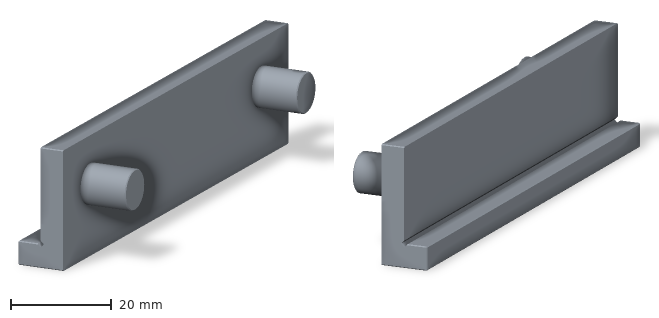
import cadquery as cq

length = 100.0
height = 25.0
thickness = 5.0
lip_reach = 5.0
relief_width = 1.0
pin_diameter = 8.5
pin_length = 10.0
edge_break = 0.2
pin_height = 15.0
pin_end_distance = 12.0

back_x = lip_reach + thickness
pin_spacing = length - 2 * pin_end_distance


def angle_bar():
    """L-shaped bar, centred along Y, with the lip pointing to -X.

    The wall keeps its other edges sharp.
    """
    sharp_bar = (
        cq.Workplane("XZ")
        .moveTo(0, 0)
        .lineTo(back_x, 0)
        .lineTo(back_x, height)
        .lineTo(lip_reach, height)
        .lineTo(lip_reach, thickness)
        .lineTo(0, thickness)
        .close()
        .extrude(length / 2, both=True)
    )
    return (
        sharp_bar.edges("|X")
        .add(sharp_bar.faces("<X").edges())
        .chamfer(edge_break)
    )


def corner_relief():
    """Square groove turned 45 degrees and centred on the inner corner."""
    return (
        cq.Workplane("XZ", origin=(lip_reach, 0, thickness))
        .transformed(rotate=(0, 0, 45))
        .rect(relief_width, relief_width)
        .extrude(length / 2, both=True)
    )


def mounting_pins():
    """Two round pins standing out of the back face."""
    return (
        cq.Workplane("YZ", origin=(back_x, 0, pin_height))
        .pushPoints([(-pin_spacing / 2, 0), (pin_spacing / 2, 0)])
        .circle(pin_diameter / 2)
        .extrude(pin_length)
        .faces(">X")
        .chamfer(edge_break)
    )


result = angle_bar().cut(corner_relief()).union(mounting_pins())